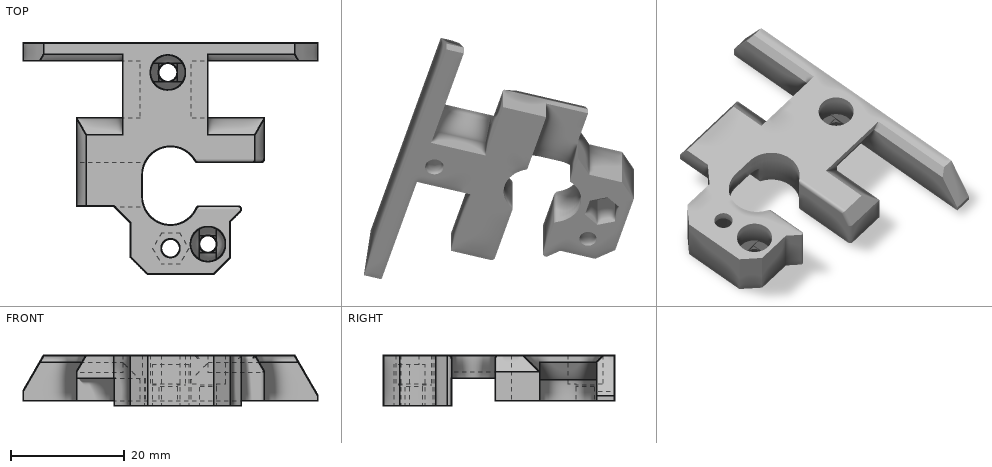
import cadquery as cq
import math


body_depth = 8.0
nose_depth = 8.9
notch_roof = 4.05

rail_length = 52
rail_width = 3.15
rail_chamfer = 1.2
rail_left_end_height = 1.7
rail_right_end_height = 0.9

neck_left = -8.4
neck_right = 6.6
undercut_start = 1.25
undercut_size = 3.0

wing_half_width = 16.55
wing_rear = -13.15
wing_rear_bevel = 3.0
wing_side_bevel_depth = 2.85
bevel_angle = 30

slot_rear = -21.05
slot_front = -28.75
opening_radius = 5.0
opening_rear_center = -23.25
opening_front_center = -27.1
slot_fillet = 0.6
notch_step = 0.1

nose_left = -7.05
nose_right = 10.5
nose_front = -40.75
nose_corner_left = 3.0
nose_corner_right = 2.85
nose_shoulder = 2.95
lip_tip = 12.5
lip_tip_length = 0.8

counterbore_diameter = 6.2
counterbore_depth = 5.0
bridge_step = 0.2
rear_screw_diameter = 3.3
rear_screw_center = (-0.45, -5.2)
front_screw_diameter = 3.0
front_screw_center = (6.6, -35.45)
nut_screw_diameter = 3.2
nut_screw_center = (0, -36.2)
nut_trap_roof = 1.55
nut_width = 5.5
nut_sides = 6

bevel_slope = math.tan(math.radians(bevel_angle))


def box(x_min, x_max, y_min, y_max, z_min, z_max):
    """Box given by its limits along each axis."""
    size = (x_max - x_min, y_max - y_min, z_max - z_min)
    return cq.Workplane("XY").box(*size, centered=False).translate((x_min, y_min, z_min))


def prism_along_y(points, y_front, y_rear):
    """Extrude an XZ outline from y_front back to y_rear."""
    return cq.Workplane("XZ", origin=(0, y_front, 0)).polyline(points).close().extrude(y_front - y_rear)


def prism_along_x(points, x_min, x_max):
    """Extrude a YZ outline from x_min to x_max."""
    return cq.Workplane("YZ", origin=(x_min, 0, 0)).polyline(points).close().extrude(x_max - x_min)


def make_rail():
    half = rail_length / 2
    left_drop = body_depth - rail_left_end_height
    right_drop = body_depth - rail_right_end_height
    front_outline = [
        (-half, -body_depth),
        (half, -body_depth),
        (half, -right_drop),
        (half - right_drop * bevel_slope, 0),
        (-half + left_drop * bevel_slope, 0),
        (-half, -left_drop),
    ]
    side_outline = [
        (0, 0),
        (rail_chamfer - rail_width, 0),
        (-rail_width, -rail_chamfer),
        (-rail_width, -body_depth),
        (0, -body_depth),
    ]
    rail = prism_along_y(front_outline, -rail_width, 0)
    return rail.intersect(prism_along_x(side_outline, -half, half))


def make_neck():
    """Neck whose two sides step inward below the top on a sloping overhang."""
    undercut_end = undercut_start + undercut_size
    upper_left = neck_left + undercut_size
    upper_right = neck_right - undercut_size
    outline = [
        (neck_left, 0),
        (neck_right, 0),
        (neck_right, -undercut_start),
        (upper_right, -undercut_end),
        (upper_right, -body_depth),
        (upper_left, -body_depth),
        (upper_left, -undercut_end),
        (neck_left, -undercut_start),
    ]
    neck = prism_along_y(outline, wing_rear, 0)
    root = box(neck_left, neck_right, wing_rear - wing_rear_bevel, wing_rear, -wing_rear_bevel, 0)
    return neck.union(root)


def make_wing():
    bevel_width = wing_side_bevel_depth * bevel_slope
    front_outline = [
        (-wing_half_width, -body_depth),
        (wing_half_width, -body_depth),
        (wing_half_width, -wing_side_bevel_depth),
        (wing_half_width - bevel_width, 0),
        (bevel_width - wing_half_width, 0),
        (-wing_half_width, -wing_side_bevel_depth),
    ]
    side_outline = [
        (slot_front, 0),
        (wing_rear - wing_rear_bevel, 0),
        (wing_rear, -wing_rear_bevel),
        (wing_rear, -body_depth),
        (slot_front, -body_depth),
    ]
    wing = prism_along_y(front_outline, slot_front, wing_rear)
    return wing.intersect(prism_along_x(side_outline, -wing_half_width, wing_half_width))


def make_nose():
    lip_front = slot_front - lip_tip_length
    outline = [
        (nose_left - nose_shoulder, slot_front),
        (lip_tip, slot_front),
        (lip_tip, lip_front),
        (nose_right, lip_front - (lip_tip - nose_right)),
        (nose_right, nose_front + nose_corner_right),
        (nose_right - nose_corner_right, nose_front),
        (nose_left + nose_corner_left, nose_front),
        (nose_left, nose_front + nose_corner_left),
        (nose_left, slot_front - nose_shoulder),
    ]
    return cq.Workplane("XY").polyline(outline).close().extrude(-nose_depth)


def make_opening():
    """Rounded keyhole opening together with the slot that leaves it toward +X."""
    opening = box(-opening_radius, opening_radius, opening_front_center, opening_rear_center, -nose_depth, 0)
    for center in (opening_rear_center, opening_front_center):
        opening = opening.union(
            cq.Workplane("XY").center(0, center).circle(opening_radius).extrude(-nose_depth)
        )
    slot = box(0, wing_half_width, slot_front, slot_rear, -nose_depth, 0)
    return opening.union(slot)


def make_notch():
    """Notch open to -X and below, between the wing and the nose."""
    return box(-wing_half_width, 0, slot_front - notch_step, slot_rear, -nose_depth, -notch_roof)


def round_slot_faces(body):
    """Round the top and side edges of the two facing slot walls."""
    margin = 0.05
    for wall in (slot_rear, slot_front):
        near_wall = cq.selectors.BoxSelector(
            (margin, wall - margin, -body_depth + margin),
            (wing_half_width + margin, wall + margin, margin),
        )
        body = body.edges(near_wall).fillet(slot_fillet)
    return body


def counterbored_hole(center, diameter, bridge_along_x):
    """Through hole and counterbore, stepping from round to a strip to a square to round."""
    counterbore = cq.Workplane("XY").circle(counterbore_diameter / 2).extrude(-counterbore_depth)
    strip_depth = counterbore_depth + bridge_step
    square_depth = strip_depth + bridge_step
    strip_size = (counterbore_diameter, diameter) if bridge_along_x else (diameter, counterbore_diameter)
    strip = cq.Workplane("XY").rect(*strip_size).extrude(-strip_depth)
    strip = strip.intersect(cq.Workplane("XY").circle(counterbore_diameter / 2).extrude(-strip_depth))
    square = cq.Workplane("XY").rect(diameter, diameter).extrude(-square_depth)
    screw = cq.Workplane("XY").circle(diameter / 2).extrude(-nose_depth)
    return counterbore.union(strip).union(square).union(screw).translate((*center, 0))


def nut_hole():
    """Screw hole opening into a hexagonal nut trap from below, two flats facing +Y and -Y."""
    screw = cq.Workplane("XY").circle(nut_screw_diameter / 2).extrude(-nose_depth)
    nut_across_corners = nut_width / math.cos(math.pi / nut_sides)
    trap = cq.Workplane("XY", origin=(0, 0, -nose_depth)).polygon(nut_sides, nut_across_corners)
    trap = trap.extrude(nose_depth - nut_trap_roof)
    return screw.union(trap).translate((*nut_screw_center, 0))


body = make_rail().union(make_neck()).union(make_wing()).union(make_nose())
body = body.cut(make_opening()).cut(make_notch())
body = round_slot_faces(body)
body = body.cut(counterbored_hole(rear_screw_center, rear_screw_diameter, bridge_along_x=True))
body = body.cut(counterbored_hole(front_screw_center, front_screw_diameter, bridge_along_x=False))
result = body.cut(nut_hole())